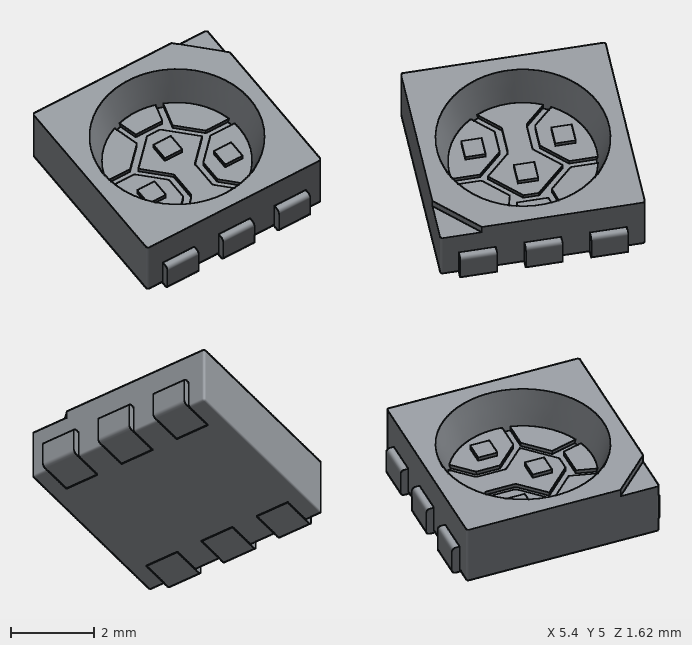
import cadquery as cq
import math

body_side = 5.0
body_height = 1.6
standoff = 0.02
body_top = standoff + body_height
edge_radius = 0.06

notch_leg = 1.01
notch_depth = 0.2

cup_top_radius = 2.1
cup_pad_radius = 1.8
pad_depth = 0.9
pad_thickness = 0.1
cup_depth = pad_depth + pad_thickness
cup_taper = (cup_top_radius - cup_pad_radius) / pad_depth
cup_floor_radius = cup_top_radius - cup_depth * cup_taper
cup_floor_z = body_top - cup_depth
pad_top_z = body_top - pad_depth

gap_width = 0.19
split_x = -0.3
split_y = 1.05
neck_y = 0.395
neck_start_x = split_x + split_y - neck_y
neck_end_x = 1.055
left_gap_x = -1.12
left_gap_y = 0.455
left_gap_slope = math.tan(math.radians(15))
reach = 2 * cup_top_radius

chip_side = 0.5
chip_height = 0.1
chip_centers = [(-0.4, 0), (0.56, 1.1), (0.56, -1.1)]

lead_width = 0.9
lead_pitch = 1.6
lead_height = 0.78
lead_thickness = 0.2
lead_radius = 0.1
foot_length = 1.0
lead_outer_x = body_side / 2 + lead_thickness


def make_housing():
    block = cq.Workplane("XY").workplane(offset=standoff).rect(body_side, body_side).extrude(body_height)
    block = block.edges("|Z or <Z").fillet(edge_radius)
    half = body_side / 2
    notch = (
        cq.Workplane("XY")
        .workplane(offset=body_top - notch_depth)
        .polyline([(-half, half), (-half, half - notch_leg), (-half + notch_leg, half)])
        .close()
        .extrude(notch_depth)
    )
    return block.cut(notch)


def make_cup():
    profile = [(0, cup_floor_z), (cup_floor_radius, cup_floor_z), (cup_top_radius, body_top), (0, body_top)]
    return cq.Workplane("XZ").polyline(profile).close().revolve(360, (0, 0), (0, 1))


def mirrored(points):
    """Reflect an outline across the X axis."""
    return [(x, -y) for x, y in reversed(points)]


def make_pads(cup):
    """Contact pads: regions between the gap centre lines, shrunk by half a gap and trimmed to the cup."""
    split = (split_x, split_y)
    neck_start = (neck_start_x, neck_y)
    neck_end = (neck_end_x, neck_y)
    neck_exit = (reach, neck_y + reach - neck_end_x)
    left_corner = (left_gap_x, left_gap_y)
    left_exit = (-reach, left_gap_y + left_gap_slope * (reach + left_gap_x))

    diagonal_rise = split_y - split_x
    diagonal_end = (left_gap_x, left_gap_x + diagonal_rise)
    fork_x = (left_gap_y + left_gap_slope * left_gap_x - diagonal_rise) / (1 + left_gap_slope)
    fork = (fork_x, fork_x + diagonal_rise)

    right_pad = [split, neck_start, neck_end, neck_exit, (split_x, neck_exit[1])]
    corner_pad = [(split_x, reach), split, fork, left_exit, (-reach, reach)]
    middle_half = [diagonal_end, split, neck_start, neck_end, neck_exit]
    left_half = [left_exit, left_corner]
    outlines = [
        right_pad,
        mirrored(right_pad),
        corner_pad,
        mirrored(corner_pad),
        middle_half + mirrored(middle_half),
        left_half + mirrored(left_half),
    ]
    pads = []
    for outline in outlines:
        pad = (
            cq.Workplane("XY")
            .workplane(offset=cup_floor_z)
            .polyline(outline)
            .close()
            .offset2D(-gap_width / 2)
            .extrude(pad_thickness)
        )
        pads.append(pad.intersect(cup))
    return pads


def make_chips():
    return (
        cq.Workplane("XY")
        .workplane(offset=pad_top_z)
        .pushPoints(chip_centers)
        .rect(chip_side, chip_side)
        .extrude(chip_height)
    )


def make_lead():
    """L-shaped lead on the +X side, centred on Y = 0."""
    inner_x = lead_outer_x - lead_thickness
    foot_end_x = lead_outer_x - foot_length
    return (
        cq.Workplane("XZ")
        .moveTo(foot_end_x, 0)
        .lineTo(lead_outer_x, 0)
        .lineTo(lead_outer_x, lead_height)
        .lineTo(inner_x, lead_height)
        .lineTo(inner_x, lead_thickness)
        .lineTo(foot_end_x, lead_thickness)
        .close()
        .extrude(lead_width / 2, both=True)
        .edges("|Y and >X")
        .fillet(lead_radius)
    )


cup = make_cup()
result = make_housing().cut(cup)
for pad in make_pads(cup):
    result = result.union(pad)
result = result.union(make_chips())

right_lead = make_lead()
left_lead = right_lead.mirror("YZ")
for row in (-1, 0, 1):
    shift = (0, row * lead_pitch, 0)
    result = result.union(right_lead.translate(shift)).union(left_lead.translate(shift))